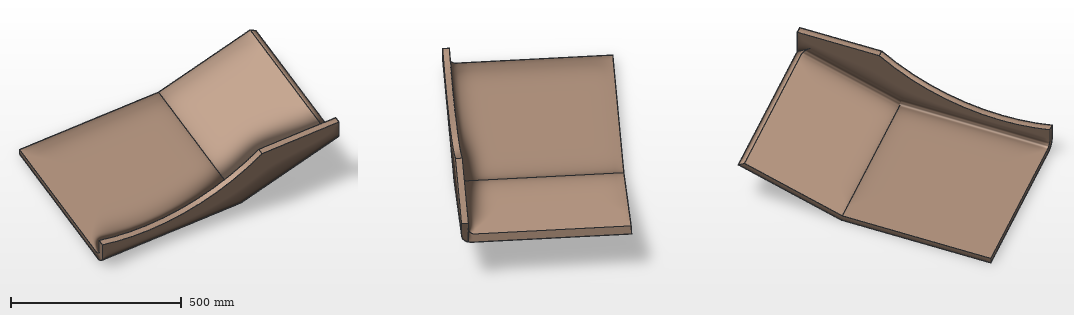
import cadquery as cq
import math

width = 500.0
length = 794.0
height = 197.0

thickness = 20.0
inner_radius = 20.0
outer_radius = 30.0
bend_y = 470.0
rear_rise = 113.0
slope = math.atan2(rear_rise, length - bend_y)
rear_cut_angle = math.radians(35.5)

flat_start_y = 536.0
arc_low_y = 156.0
arc_low_z = 67.0
front_height = 86.5

flange_inner_x = width - thickness


def extrude_along_x(sketch, start_x, end_x):
    """Extrude a closed YZ outline between two X positions."""
    return sketch.extrude(end_x - start_x).translate((start_x, 0, 0))


def bent_floor_path(offset):
    """Start an outline along the bent floor, raised by an offset normal to it."""
    bend_shift = offset * math.tan(slope / 2)
    floor_bend_y = bend_y - bend_shift
    rear_z = offset + (length - floor_bend_y) * math.tan(slope)
    return (
        cq.Workplane("YZ")
        .moveTo(0, offset)
        .lineTo(floor_bend_y, offset)
        .lineTo(length, rear_z)
    )


def solid_above_floor(offset, end_x):
    """Fill the space above the bent floor and round its lower long edge."""
    outline = bent_floor_path(offset).lineTo(length, height).lineTo(0, height).close()
    return extrude_along_x(outline, 0, end_x)


def round_lower_edge(body, radius):
    """Round the two connected lower edges on the flange side."""
    return body.faces(">X").edges("not(|Z or >Z)").fillet(radius)


outside = round_lower_edge(solid_above_floor(0, width), outer_radius)
inside = round_lower_edge(solid_above_floor(thickness, flange_inner_x), inner_radius)
shell = outside.cut(inside)

rear_arc_run = flat_start_y - arc_low_y
rear_arc_rise = height - arc_low_z
rear_arc_radius = (rear_arc_run**2 + rear_arc_rise**2) / (2 * rear_arc_rise)
rear_arc_half_angle = math.asin(rear_arc_run / rear_arc_radius) / 2
rear_arc_middle = (
    arc_low_y + rear_arc_radius * math.sin(rear_arc_half_angle),
    arc_low_z + rear_arc_radius * (1 - math.cos(rear_arc_half_angle)),
)
flange_limit = (
    cq.Workplane("YZ")
    .lineTo(length, 0)
    .lineTo(length, height)
    .lineTo(flat_start_y, height)
    .threePointArc(rear_arc_middle, (arc_low_y, arc_low_z))
    .tangentArcPoint((0, front_height), relative=False)
    .close()
)
shell = shell.intersect(extrude_along_x(flange_limit, 0, width))

cut_rise = length * math.tan(rear_cut_angle)
rear_cut = (
    cq.Workplane("YZ")
    .moveTo(length, rear_rise)
    .lineTo(0, rear_rise + cut_rise)
    .lineTo(length, rear_rise + cut_rise)
    .close()
)
result = shell.cut(extrude_along_x(rear_cut, 0, flange_inner_x))